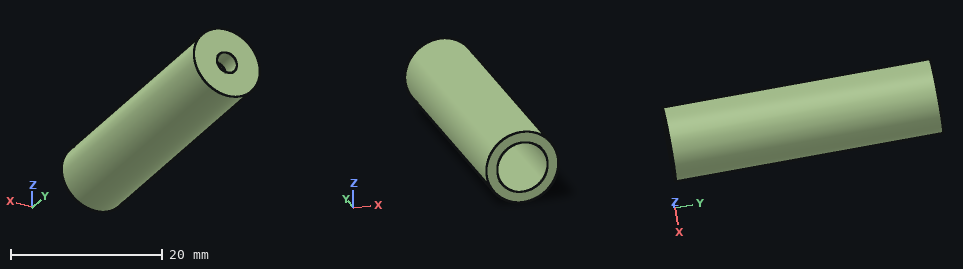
import cadquery as cq

length = 36.0
outer_diameter = 10.0
bore_diameter = 7.0
hole_diameter = 3.0
end_wall = 3.0
bore_depth = length - end_wall

body = (
    cq.Workplane("XZ", origin=(0, length / 2, 0))
    .circle(outer_diameter / 2)
    .extrude(length)
)

result = body.faces("<Y").workplane().cboreHole(hole_diameter, bore_diameter, bore_depth)